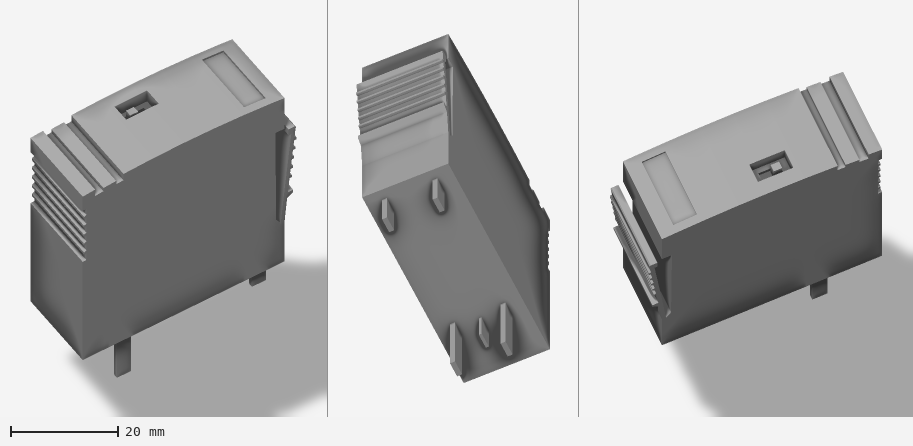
import cadquery as cq
import math

overall_height = 60.4
width = 17.7
depth = 45.1
crown_height = 46.65
end_height = 45.45
mid_depth = depth / 2
crown_drop = crown_height - end_height
crown_radius = (mid_depth**2 + crown_drop**2) / (2 * crown_drop)
facet_length = 6.7
facets_each_side = 2
back_flat_start = 42.2

front_groove = (2.8, 4.65)
rear_groove = (7.5, mid_depth - facets_each_side * facet_length)
groove_depth = 1.75
ridge_drop = 0.85

grip_bottom = 27.3
grip_top = 41.5
grip_depth = 0.85
tooth_count = 5
tooth_pitch = 2.5
tooth_height = 0.55
tooth_thickness = 0.85
tooth_tip = 0.6
first_front_tooth = 29.1

clip_slot_top = 36.9
clip_slot_wall = 43.0
clip_slot_heel = (43.2, 12.5)
clip_slot_tip = (44.25, 11.05)
clip_arm_bend = (45.0, 19.35)
clip_inner_top = (46.6, 34.5)
clip_arm_thickness = 0.85
clip_head_inner = 46.0
clip_head_outer = 47.6
clip_head_top = 36.15
clip_head_bevel = 0.25
first_clip_tooth = 22.4
lug_tip = 47.0
lug_top = 18.8
lug_tip_bottom = 18.1
lug_root_bottom = 17.2

label_width = 14.3
label_front = 37.15
label_back = 42.0
label_depth = 0.5
switch_x = 4.9
switch_well = (3.9, 7.25)
switch_well_y = 20.5
switch_well_floor = 43.65
switch_slot = (1.9, 4.3)
switch_slot_y = 20.55
switch_slot_depth = 0.9
knob_size = (1.45, 1.75)
knob_y = 19.45
knob_top = 45.55

pin_width = 3.15
blade_thickness = 1.0
blade_spacing = 10.4
front_blade_y = 11.3
front_blade_length = overall_height - crown_height
back_blade_y = 41.45
back_blade_length = 6.8
middle_pin_thickness = 0.6
middle_pin_y = 10.2
middle_pin_length = 5.8


def crown_z(y):
    """Height of the crown circle at depth y."""
    return crown_height - crown_radius + math.sqrt(crown_radius**2 - (y - mid_depth)**2)


def clip_outer_y(z):
    """Y of the outer side of the sloping clip arm at height z."""
    lean = (clip_inner_top[0] - clip_arm_bend[0]) / (clip_inner_top[1] - clip_arm_bend[1])
    return clip_arm_bend[0] + lean * (z - clip_arm_bend[1]) + clip_arm_thickness


def front_grip_points():
    """Recess with saw teeth on the front face, listed upward."""
    points = [(0, grip_bottom), (grip_depth, grip_bottom)]
    for i in range(tooth_count):
        z = first_front_tooth + i * tooth_pitch
        tip_y = grip_depth - tooth_height
        points += [(grip_depth, z), (tip_y, z), (tip_y, z + tooth_tip), (grip_depth, z + tooth_thickness)]
    return points + [(grip_depth, grip_top), (0, grip_top)]


def top_points():
    """Grooves and faceted crown, listed from front to back."""
    points = [(0, crown_z(0)), (front_groove[0], crown_z(front_groove[0]))]
    levels = [
        (front_groove[0], groove_depth), (front_groove[1], groove_depth),
        (front_groove[1], ridge_drop), (rear_groove[0], ridge_drop),
        (rear_groove[0], groove_depth), (rear_groove[1], groove_depth),
    ]
    points += [(y, crown_z(y) - drop) for y, drop in levels]
    facet_edges = [mid_depth + step * facet_length for step in range(-facets_each_side, facets_each_side + 1)]
    points += [(y, crown_z(y)) for y in facet_edges + [back_flat_start, depth]]
    return points


def clip_points():
    """Slot, clip head and toothed outer side of the clip, listed downward."""
    points = [
        (depth, clip_slot_top), (clip_slot_wall, clip_slot_top),
        clip_slot_heel, clip_slot_tip, clip_arm_bend, clip_inner_top,
        (clip_head_inner, clip_inner_top[1]), (clip_head_inner, clip_head_top),
        (clip_head_outer - clip_head_bevel, clip_head_top),
        (clip_head_outer, clip_head_top - clip_head_bevel),
    ]
    points.append((clip_outer_y(clip_inner_top[1]), clip_inner_top[1]))
    for i in reversed(range(tooth_count)):
        z = first_clip_tooth + i * tooth_pitch
        root_y = clip_outer_y(z)
        tip_y = root_y + tooth_height
        points += [(clip_outer_y(z + tooth_thickness), z + tooth_thickness), (tip_y, z + tooth_tip),
                   (tip_y, z), (root_y, z)]
    points += [(clip_outer_y(lug_top), lug_top), (lug_tip, lug_top), (lug_tip, lug_tip_bottom)]
    points.append((clip_outer_y(lug_root_bottom), lug_root_bottom))
    return points + [(depth, clip_slot_tip[1])]


def box(size_x, size_y, x, y, bottom, top):
    """Upright block centred on (x, y)."""
    return cq.Workplane("XY", origin=(x, y, bottom)).rect(size_x, size_y).extrude(top - bottom)


outline = [(0, 0)] + front_grip_points() + top_points() + clip_points() + [(depth, 0)]
result = cq.Workplane("YZ").polyline(outline).close().extrude(width)

label_y = (label_front + label_back) / 2
label_tilt = math.degrees(math.asin((label_y - mid_depth) / crown_radius))
label_cutter = cq.Workplane("XY").box(label_width, label_back - label_front, 2 * label_depth)
label_cutter = label_cutter.rotate((0, 0, 0), (1, 0, 0), -label_tilt)
result = result.cut(label_cutter.translate((width / 2, label_y, crown_z(label_y))))

result = result.cut(box(*switch_well, switch_x, switch_well_y, switch_well_floor, crown_height))
slot_floor = switch_well_floor - switch_slot_depth
result = result.cut(box(*switch_slot, switch_x, switch_slot_y, slot_floor, switch_well_floor))
result = result.union(box(*knob_size, switch_x, knob_y, slot_floor, knob_top))

for side in (-1, 1):
    blade_x = width / 2 + side * blade_spacing / 2
    for y, length in ((front_blade_y, front_blade_length), (back_blade_y, back_blade_length)):
        result = result.union(box(blade_thickness, pin_width, blade_x, y, -length, 0))
result = result.union(box(middle_pin_thickness, pin_width, width / 2, middle_pin_y, -middle_pin_length, 0))